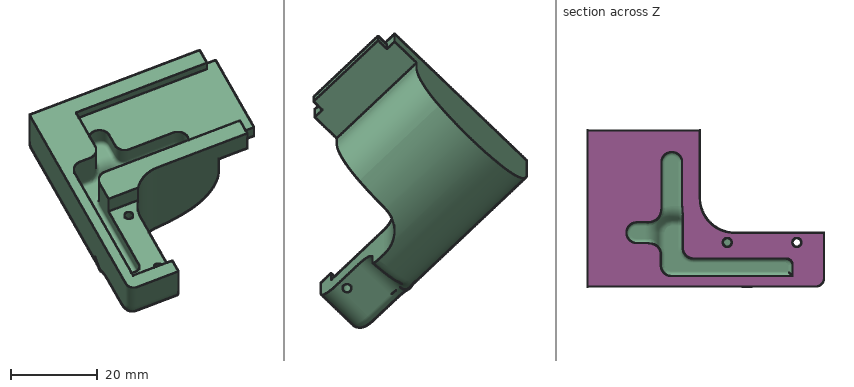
import cadquery as cq
import math

total_length = 54.67
total_depth = 46.25
total_height = 24.0

base_width = 26.0
arm_width = 12.5
plan_corner_radius = 8.0

tongue_length = 2.9
tongue_width = 21.0
base_depth = total_depth - tongue_length

belly_width = 36.15
belly_length = 37.85
belly_side_height = 10.65
belly_side_radius = 12.15
flange_thickness = 6.0

arm_thickness = 12.9
arm_end_radius = 5.0
arm_root_radius = 4.5
front_edge_round = 2.0

root_end_x = belly_length + arm_root_radius
root_start_z = -arm_thickness - arm_root_radius

pocket_depth = 2.5
pocket_side_wall = 4.0
pocket_front = 10.0
recess_depth = 5.0
recess_start = 29.3
recess_end_wall = 3.37
recess_front_wall = 2.5

channel_width = 5.0
channel_radius = channel_width / 2
channel_right = base_width - pocket_side_wall
channel_left = channel_right - channel_width
channel_center_x = channel_right - channel_radius
channel_back_center = 28.7
branch_center_y = pocket_front + channel_radius
branch_end_center = 11.45
arm_channel_width = 4.0
arm_channel_end = 47.35
arm_channel_corner_radius = 1.5
channel_floor_round = 1.0
upper_floor_depth = 7.5
floor_step = 2.0
lower_floor_depth = upper_floor_depth + floor_step

ramp_outer_reach = 6.05
ramp_crest_radius = 4.0
ramp_foot_radius = 2.0

hole_diameter = 2.0
hole_y = 10.25
hole_xs = (32.3, 48.35)

overlap = 1.0
tolerance = 0.01


def box(x0, x1, y0, y1, z0, z1):
    return cq.Workplane("XY").box(x1 - x0, y1 - y0, z1 - z0, centered=False).translate((x0, y0, z0))


def plan_prism():
    """L-shaped plan with a rounded inner corner, full height."""
    inner_corner = cq.selectors.NearestToPointSelector((base_width, arm_width, -total_height / 2))
    return (
        cq.Workplane("XY")
        .polyline([
            (0, 0),
            (total_length, 0),
            (total_length, arm_width),
            (base_width, arm_width),
            (base_width, base_depth),
            (0, base_depth),
        ])
        .close()
        .extrude(-total_height)
        .edges(inner_corner)
        .fillet(plan_corner_radius)
    )


def root_point(angle):
    """Point (x, z) on the concave arc between belly end and arm, angle 0 at the belly."""
    return (
        root_end_x - arm_root_radius * math.cos(angle),
        root_start_z + arm_root_radius * math.sin(angle),
    )


def belly_side_outline():
    """Base and belly along Y, closed on the right by the belly end and the root arc."""
    return (
        cq.Workplane("XZ")
        .lineTo(0, -total_height)
        .lineTo(belly_length, -total_height)
        .lineTo(belly_length, root_start_z)
        .threePointArc(root_point(math.pi / 4), (root_end_x, -arm_thickness))
        .lineTo(root_end_x, 0)
        .close()
        .extrude(-total_depth)
    )


def belly_cross_section():
    """Outline along X: thin flange behind a belly with a three-arc underside."""
    half = belly_width / 2
    side = belly_side_radius
    center_offset = half - side
    drop = total_height - belly_side_height
    bottom_radius = (center_offset**2 + drop**2 - side**2) / (2 * (drop - side))
    join_angle = math.atan2(bottom_radius - drop, center_offset)

    def side_point(angle):
        return (side * (1 - math.cos(angle)), -belly_side_height - side * math.sin(angle))

    front_mid = side_point(join_angle / 2)
    front_join = side_point(join_angle)
    return (
        cq.Workplane("YZ")
        .lineTo(0, -belly_side_height)
        .threePointArc(front_mid, front_join)
        .threePointArc((half, -total_height), (belly_width - front_join[0], front_join[1]))
        .threePointArc((belly_width - front_mid[0], front_mid[1]), (belly_width, -belly_side_height))
        .lineTo(belly_width, -flange_thickness)
        .lineTo(base_depth, -flange_thickness)
        .lineTo(base_depth, 0)
        .close()
        .extrude(total_length)
    )


def base_with_belly():
    """Base block and belly, with the belly's end edge rounded into the root arc."""
    body = plan_prism().intersect(belly_side_outline()).intersect(belly_cross_section())
    belly_end_edges = cq.selectors.BoxSelector(
        (belly_length - tolerance, -tolerance, -total_height),
        (root_end_x + tolerance, arm_width - tolerance, -arm_thickness + tolerance),
    )
    end_face_top = cq.selectors.NearestToPointSelector((belly_length, arm_width / 2, root_start_z))
    arm_face_edge = cq.selectors.NearestToPointSelector((root_end_x, arm_width / 2, -arm_thickness))
    return body.edges(belly_end_edges - end_face_top - arm_face_edge).fillet(front_edge_round)


def arm():
    """Shallow arm whose front edge is rounded along the root, underside and free end."""
    end_x = total_length - arm_end_radius
    end_z = -arm_thickness + arm_end_radius
    end_mid = (
        end_x + arm_end_radius * math.sin(math.pi / 4),
        end_z - arm_end_radius * math.cos(math.pi / 4),
    )
    web_start = (belly_length - front_edge_round, -belly_side_height)
    body = (
        cq.Workplane("XZ")
        .moveTo(web_start[0], 0)
        .lineTo(*web_start)
        .lineTo(*root_point(math.pi / 4))
        .threePointArc(root_point(3 * math.pi / 8), (root_end_x, -arm_thickness))
        .lineTo(end_x, -arm_thickness)
        .threePointArc(end_mid, (total_length, end_z))
        .lineTo(total_length, 0)
        .close()
        .extrude(-arm_width)
    )
    free_side = cq.selectors.NearestToPointSelector((total_length, 0, end_z / 2))
    underside = cq.selectors.NearestToPointSelector(((root_end_x + end_x) / 2, 0, -arm_thickness))
    end_arc = cq.selectors.NearestToPointSelector((end_mid[0], 0, end_mid[1]))
    root_arc_mid = root_point(3 * math.pi / 8)
    root_arc = cq.selectors.NearestToPointSelector((root_arc_mid[0], 0, root_arc_mid[1]))
    return body.edges(free_side + underside + end_arc + root_arc).fillet(front_edge_round)


def tongue():
    """Thin tab at the back, level with the pocket floor and the flange underside."""
    inset = (base_width - tongue_width) / 2
    return box(
        inset,
        base_width - inset,
        base_depth - overlap,
        total_depth,
        -flange_thickness,
        -pocket_depth,
    )


def pocket():
    return box(pocket_side_wall, channel_right, pocket_front, total_depth, -pocket_depth, 0)


def arm_recess():
    return box(
        recess_start,
        total_length - recess_end_wall,
        recess_front_wall,
        base_depth,
        -recess_depth,
        0,
    )


def channel_outline():
    """Forked channel in plan: back leg, left branch, and the run along the arm."""
    bend = channel_radius
    bend_diag = bend * math.sqrt(0.5)
    corner = arm_channel_corner_radius
    corner_diag = corner * math.sqrt(0.5)
    front = recess_front_wall
    arm_back = front + arm_channel_width
    left = channel_left
    right = channel_right
    branch_low = branch_center_y - bend
    branch_high = branch_center_y + bend
    end = arm_channel_end
    return (
        cq.Workplane("XY")
        .moveTo(end, front)
        .lineTo(left + bend, front)
        .threePointArc((left + bend - bend_diag, front + bend - bend_diag), (left, front + bend))
        .lineTo(left, branch_low - bend)
        .threePointArc((left - bend + bend_diag, branch_low - bend + bend_diag), (left - bend, branch_low))
        .lineTo(branch_end_center, branch_low)
        .threePointArc((branch_end_center - bend, branch_center_y), (branch_end_center, branch_high))
        .lineTo(left - bend, branch_high)
        .threePointArc((left - bend + bend_diag, branch_high + bend - bend_diag), (left, branch_high + bend))
        .lineTo(left, channel_back_center)
        .threePointArc((channel_center_x, channel_back_center + bend), (right, channel_back_center))
        .lineTo(right, arm_back + bend)
        .threePointArc((right + bend - bend_diag, arm_back + bend - bend_diag), (right + bend, arm_back))
        .lineTo(end - corner, arm_back)
        .threePointArc((end - corner + corner_diag, arm_back - corner + corner_diag), (end, arm_back - corner))
        .close()
        .extrude(-lower_floor_depth)
    )


def ramp_section(plane):
    """Ground left under the upper floor; local x is the distance from the fork center."""
    slope = math.acos(1 - floor_step / (ramp_crest_radius + ramp_foot_radius))
    inflection = ramp_outer_reach - ramp_crest_radius * math.sin(slope)
    inner_reach = inflection - ramp_foot_radius * math.sin(slope)

    def crest(angle):
        return (
            ramp_outer_reach - ramp_crest_radius * math.sin(angle),
            -upper_floor_depth - ramp_crest_radius * (1 - math.cos(angle)),
        )

    def foot(angle):
        return (
            inner_reach + ramp_foot_radius * math.sin(angle),
            -lower_floor_depth + ramp_foot_radius * (1 - math.cos(angle)),
        )

    return (
        plane
        .moveTo(*foot(0))
        .threePointArc(foot(slope / 2), foot(slope))
        .threePointArc(crest(slope / 2), crest(0))
        .lineTo(total_depth, -upper_floor_depth)
        .lineTo(total_depth, -total_height)
        .lineTo(inner_reach, -total_height)
        .close()
    )


def upper_floor_ground():
    """Solid under the upper floor, its ramp sweeping round the fork center."""
    fork = (channel_center_x, branch_center_y, 0)
    along_y = cq.Plane(origin=fork, xDir=(0, 1, 0), normal=(1, 0, 0))
    along_x = cq.Plane(origin=fork, xDir=(-1, 0, 0), normal=(0, 1, 0))
    quarter_turn = 90
    back = ramp_section(cq.Workplane(along_y)).extrude(total_length)
    left = ramp_section(cq.Workplane(along_x)).extrude(-total_depth)
    corner = ramp_section(cq.Workplane(along_y)).revolve(quarter_turn, (0, 0, 0), (0, 1, 0))
    return back.union(left).union(corner)


def channel():
    """Channel cutter with the ramped floor and rounded floor edges."""
    cutter = channel_outline().cut(upper_floor_ground())
    floor_edges = []
    for face in cutter.faces().vals():
        bounds = face.BoundingBox()
        is_wall = bounds.zmax > -tolerance and bounds.zmin < -tolerance
        if is_wall:
            floor_edges += [e for e in face.Edges() if e.BoundingBox().zmax < tolerance - upper_floor_depth]
    return cutter.newObject(floor_edges).fillet(channel_floor_round)


def screw_holes():
    return (
        cq.Workplane("XY")
        .pushPoints([(x, hole_y) for x in hole_xs])
        .circle(hole_diameter / 2)
        .extrude(-arm_thickness)
    )


body = base_with_belly().union(arm()).union(tongue())
result = body.cut(pocket()).cut(arm_recess()).cut(channel()).cut(screw_holes())